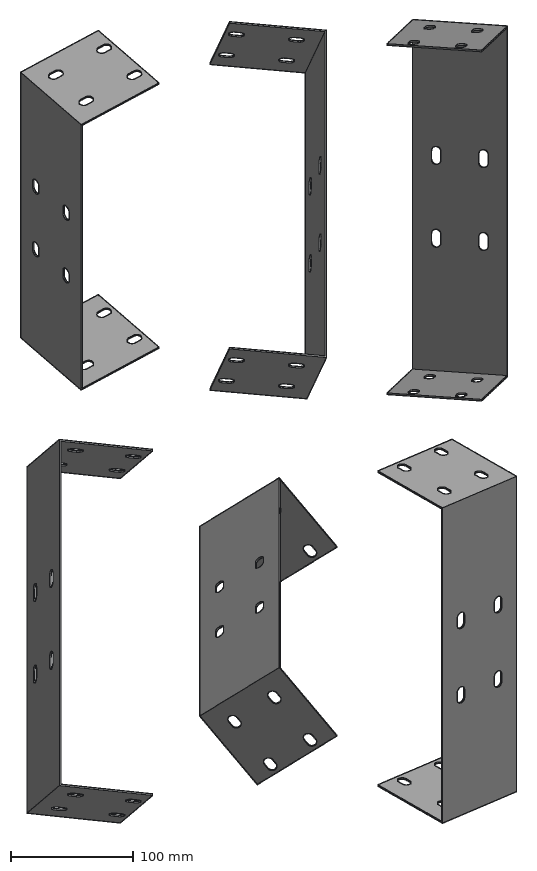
import cadquery as cq

width = 80.0
depth = 81.0
height = 296.7
sheet = 1.5

slot_width = 8.0
slot_spacing_x = 40.0

web_slot_length = 15.0
web_slot_spacing_z = 70.0

flange_slot_length = 13.0
flange_slot_spacing_y = 50.1
flange_slot_first_y = 21.0


def make_channel():
    """Web on the -Y side with a flange at the bottom and top."""
    block = cq.Workplane("XY").box(width, depth, height, centered=(True, False, True))
    opening = (
        cq.Workplane("XY")
        .box(width, depth, height - 2 * sheet, centered=(True, False, True))
        .translate((0, sheet, 0))
    )
    return block.cut(opening)


def make_web_slots():
    """Four slot cutters running through the web along Y."""
    return (
        cq.Workplane("XZ")
        .rarray(slot_spacing_x, web_slot_spacing_z, 2, 2)
        .slot2D(web_slot_length, slot_width, 90)
        .extrude(-2 * sheet)
    )


def make_flange_slots():
    """Four slot cutters running through both flanges along Z."""
    middle_y = flange_slot_first_y + flange_slot_spacing_y / 2
    return (
        cq.Workplane("XY")
        .center(0, middle_y)
        .rarray(slot_spacing_x, flange_slot_spacing_y, 2, 2)
        .slot2D(flange_slot_length, slot_width, 90)
        .extrude(height / 2, both=True)
    )


result = make_channel().cut(make_web_slots()).cut(make_flange_slots())